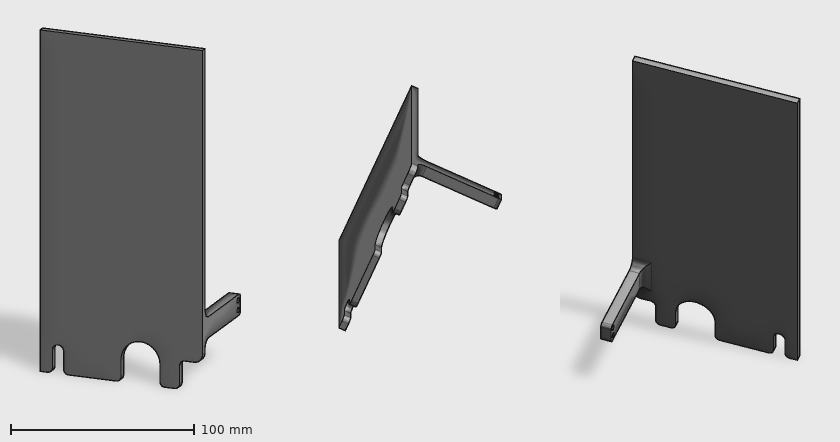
import cadquery as cq

plate_width = 96.0
plate_height = 196.0
plate_thickness = 4.0

small_notch_center = 10.5
small_notch_width = 6.7
small_notch_height = 16.5
large_notch_center = 59.4
large_notch_width = 23.0
large_notch_height = 24.3

step_start = 82.5
step_height = 16.5

foot_radius = 3.0
step_inner_radius = 3.0
step_outer_radius = 4.9

total_depth = 54.0
arm_thickness = 6.0
arm_height = 12.2
arm_center_z = 34.7
arm_tip_radius = 2.0
arm_root_radius = 5.0

hole_diameter = 3.0
hole_spacing = 5.5
hole_tip_distance = 3.1

arm_left = plate_width - arm_thickness


def box_from_corner(size, corner):
    """Box spanning the given size from its lowest-coordinate corner."""
    return cq.Workplane("XY").box(*size, centered=False).translate(corner)


def notch(center, width, height):
    """Cutter with straight sides and a semicircular top."""
    radius = width / 2
    return (
        cq.Workplane("XZ")
        .moveTo(center - radius, 0)
        .lineTo(center - radius, height - radius)
        .threePointArc((center, height), (center + radius, height - radius))
        .lineTo(center + radius, 0)
        .close()
        .extrude(-plate_thickness)
    )


def round_plate_corner(body, x, z, radius):
    """Round the through-thickness edge of the plate at (x, z)."""
    middle = (x, plate_thickness / 2, z)
    return body.edges(cq.selectors.NearestToPointSelector(middle)).fillet(radius)


def make_plate():
    plate = box_from_corner((plate_width, plate_thickness, plate_height), (0, 0, 0))
    step_size = (plate_width - step_start, plate_thickness, step_height)
    plate = plate.cut(box_from_corner(step_size, (step_start, 0, 0)))
    foot_corners = [step_start]
    for center, width, height in (
        (small_notch_center, small_notch_width, small_notch_height),
        (large_notch_center, large_notch_width, large_notch_height),
    ):
        plate = plate.cut(notch(center, width, height))
        foot_corners += [center - width / 2, center + width / 2]
    for x in foot_corners:
        plate = round_plate_corner(plate, x, 0, foot_radius)
    plate = round_plate_corner(plate, step_start, step_height, step_inner_radius)
    return round_plate_corner(plate, plate_width, step_height, step_outer_radius)


def make_arm():
    size = (arm_thickness, total_depth - plate_thickness, arm_height)
    corner = (arm_left, plate_thickness, arm_center_z - arm_height / 2)
    arm = box_from_corner(size, corner)
    return arm.faces(">Y").edges("|X").fillet(arm_tip_radius)


def make_arm_holes():
    hole_y = total_depth - hole_tip_distance
    return (
        cq.Workplane("YZ", origin=(arm_left, 0, 0))
        .pushPoints([(hole_y, arm_center_z + side * hole_spacing / 2) for side in (-1, 1)])
        .circle(hole_diameter / 2)
        .extrude(arm_thickness)
    )


def blend_arm_root(body):
    """Fillet the three arm edges that meet the back of the plate."""
    arm_middle_x = plate_width - arm_thickness / 2
    root_points = [
        (arm_left, plate_thickness, arm_center_z),
        (arm_middle_x, plate_thickness, arm_center_z - arm_height / 2),
        (arm_middle_x, plate_thickness, arm_center_z + arm_height / 2),
    ]
    root_edges = cq.Workplane("XY")
    for point in root_points:
        root_edges = root_edges.add(body.edges(cq.selectors.NearestToPointSelector(point)).vals())
    return cq.Workplane("XY").add(body.val().fillet(arm_root_radius, root_edges.vals()))


result = blend_arm_root(make_plate().union(make_arm())).cut(make_arm_holes())